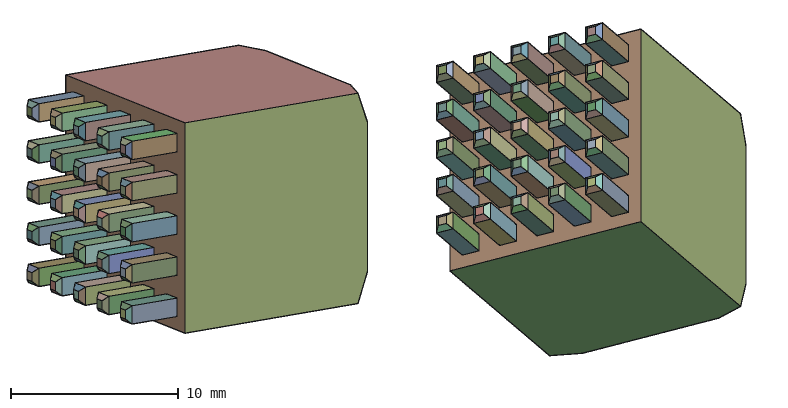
import cadquery as cq

total_length = 16.5
body_size = 13.0
pin_length = total_length - body_size

pins_per_side = 5
pin_pitch = 2.54
pin_width = 1.14
tip_width = 0.55
tip_length = (pin_width - tip_width) / 2

corner_cut_side = 1.86
corner_cut_depth = 0.68

half_body = body_size / 2


def make_body():
    """Cube centred on X and Z, from Y = 0 (pin face) to Y = body_size."""
    return cq.Workplane("XY").box(body_size, body_size, body_size).translate((0, half_body, 0))


def make_pin():
    """Square pin pointing along -Y from the pin face, ending in a blunt pyramid tip."""
    shank_length = pin_length - tip_length
    shank = cq.Workplane("XZ").rect(pin_width, pin_width).extrude(shank_length)
    tip = (
        cq.Workplane("XZ", origin=(0, -shank_length, 0))
        .rect(pin_width, pin_width)
        .workplane(offset=tip_length)
        .rect(tip_width, tip_width)
        .loft(ruled=True)
    )
    return shank.union(tip)


def make_corner_cutter(x_sign, z_sign):
    """Tetrahedron that slices one corner off the +Y face."""
    corner = cq.Vector(x_sign * half_body, body_size, z_sign * half_body)
    on_x_edge = corner - cq.Vector(x_sign * corner_cut_side, 0, 0)
    on_y_edge = corner - cq.Vector(0, corner_cut_depth, 0)
    on_z_edge = corner - cq.Vector(0, 0, z_sign * corner_cut_side)
    triangles = [
        (on_x_edge, on_y_edge, on_z_edge),
        (corner, on_x_edge, on_y_edge),
        (corner, on_y_edge, on_z_edge),
        (corner, on_z_edge, on_x_edge),
    ]
    faces = [cq.Face.makeFromWires(cq.Wire.makePolygon(points, close=True)) for points in triangles]
    return cq.Solid.makeSolid(cq.Shell.makeShell(faces))


result = make_body()

for x_sign in (-1, 1):
    for z_sign in (-1, 1):
        result = result.cut(cq.Workplane(make_corner_cutter(x_sign, z_sign)))

pin = make_pin()
first_pin = -pin_pitch * (pins_per_side - 1) / 2
for column in range(pins_per_side):
    for row in range(pins_per_side):
        pin_place = (first_pin + column * pin_pitch, 0, first_pin + row * pin_pitch)
        result = result.union(pin.translate(pin_place))